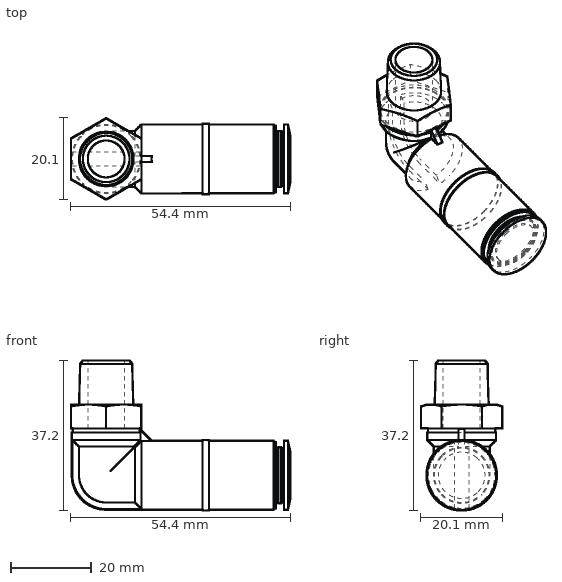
import cadquery as cq
import math

OVERALL_LENGTH = 54.35

HEX_CORNERS = 20.15
HEX_FLATS = HEX_CORNERS * math.cos(math.radians(30))
HEX_BOTTOM = 11.65
HEX_TOP = 17.5
HEX_CHAMFER_HEIGHT = 0.45

STUD_TOP = 28.5
STUD_BASE_RADIUS = 6.75
STUD_END_RADIUS = 6.45
STUD_TIP_RADIUS = 11.5 / 2
STUD_CHAMFER_HEIGHT = 0.85
BORE_DIAMETER = 9.15
BORE_DEPTH = STUD_TOP - HEX_BOTTOM

BODY_RADIUS = 17.1 / 2
ELBOW_RADIUS = 13.9 / 2
NECK_RADIUS = 16.7 / 2
SHOULDER_START = 7.1
SHOULDER_END = SHOULDER_START + BODY_RADIUS - ELBOW_RADIUS
COLLAR_TOP = 10.65
RIB_WIDTH = 3.55
GUSSET_WIDTH = 1.45
GUSSET_REACH = 19.85

BAND_RADIUS = 17.5 / 2
BAND_START = 23.85
BAND_WIDTH = 1.6
BODY_END = 41.4
LIP_START = 41.6
LIP_END = 42.05
LIP_END_RADIUS = 8.2

SLEEVE_STEP = 42.5
SLEEVE_STEP_RADIUS = 6.85
SLEEVE_RIM_START = 42.65
SLEEVE_RIM_END = 43.3
SLEEVE_END = 43.5
SLEEVE_END_RADIUS = 6.75
SLEEVE_RIM_RADIUS = 13.9 / 2
SLEEVE_NECK_RADIUS = 11.5 / 2
FLANGE_START = 44.0
FLANGE_RIM_END = 45.0
FLANGE_FACE_RADIUS = SLEEVE_NECK_RADIUS
TUBE_END = OVERALL_LENGTH - HEX_FLATS / 2


def make_upright():
    """Revolve the stud, neck, collar and vertical leg about Z."""
    return (
        cq.Workplane("XZ")
        .moveTo(0, 0)
        .lineTo(ELBOW_RADIUS, 0)
        .lineTo(ELBOW_RADIUS, SHOULDER_START)
        .lineTo(BODY_RADIUS, SHOULDER_END)
        .lineTo(BODY_RADIUS, COLLAR_TOP)
        .lineTo(NECK_RADIUS, COLLAR_TOP)
        .lineTo(NECK_RADIUS, HEX_TOP)
        .lineTo(STUD_BASE_RADIUS, HEX_TOP)
        .lineTo(STUD_END_RADIUS, STUD_TOP - STUD_CHAMFER_HEIGHT)
        .lineTo(STUD_TIP_RADIUS, STUD_TOP)
        .lineTo(0, STUD_TOP)
        .close()
        .revolve(360, (0, 0, 0), (0, 1, 0))
    )


def make_hexagon():
    """Hexagon with flats facing +/-X and its upper corners turned off by a cone."""
    hexagon = (
        cq.Workplane("XY", origin=(0, 0, HEX_BOTTOM))
        .polygon(6, HEX_CORNERS)
        .extrude(HEX_TOP - HEX_BOTTOM)
        .rotate((0, 0, 0), (0, 0, 1), 30)
    )
    corner_cone = (
        cq.Workplane("XZ")
        .moveTo(0, HEX_BOTTOM)
        .lineTo(HEX_CORNERS / 2, HEX_BOTTOM)
        .lineTo(HEX_CORNERS / 2, HEX_TOP - HEX_CHAMFER_HEIGHT)
        .lineTo(HEX_FLATS / 2, HEX_TOP)
        .lineTo(0, HEX_TOP)
        .close()
        .revolve(360, (0, 0, 0), (0, 1, 0))
    )
    return hexagon.intersect(corner_cone)


def make_tube():
    """Revolve the horizontal leg, tube body and release sleeve about X."""
    return (
        cq.Workplane("XZ")
        .moveTo(0, 0)
        .lineTo(0, ELBOW_RADIUS)
        .lineTo(SHOULDER_START, ELBOW_RADIUS)
        .lineTo(SHOULDER_END, BODY_RADIUS)
        .lineTo(BAND_START, BODY_RADIUS)
        .lineTo(BAND_START, BAND_RADIUS)
        .lineTo(BAND_START + BAND_WIDTH, BAND_RADIUS)
        .lineTo(BAND_START + BAND_WIDTH, BODY_RADIUS)
        .lineTo(BODY_END, BODY_RADIUS)
        .lineTo(LIP_START, NECK_RADIUS)
        .lineTo(LIP_END, LIP_END_RADIUS)
        .lineTo(LIP_END, SLEEVE_STEP_RADIUS)
        .lineTo(SLEEVE_STEP, SLEEVE_STEP_RADIUS)
        .lineTo(SLEEVE_RIM_START, SLEEVE_RIM_RADIUS)
        .lineTo(SLEEVE_RIM_END, SLEEVE_RIM_RADIUS)
        .lineTo(SLEEVE_END, SLEEVE_END_RADIUS)
        .lineTo(SLEEVE_END, SLEEVE_NECK_RADIUS)
        .lineTo(FLANGE_START, SLEEVE_NECK_RADIUS)
        .lineTo(FLANGE_START, BODY_RADIUS)
        .lineTo(FLANGE_RIM_END, BODY_RADIUS)
        .lineTo(TUBE_END, FLANGE_FACE_RADIUS)
        .lineTo(TUBE_END, 0)
        .close()
        .revolve(360, (0, 0, 0), (1, 0, 0))
    )


def make_rib():
    """Rib along the outside of the bend, its rim flush with the collar and the tube body."""
    envelope = (
        cq.Workplane("XY")
        .sphere(BODY_RADIUS)
        .union(cq.Workplane("XY").circle(BODY_RADIUS).extrude(SHOULDER_END))
        .union(cq.Workplane("YZ").circle(BODY_RADIUS).extrude(SHOULDER_END))
    )
    outside_of_bend = (
        cq.Workplane("XZ")
        .moveTo(0, 0)
        .lineTo(0, SHOULDER_END)
        .lineTo(-BODY_RADIUS, SHOULDER_END)
        .lineTo(-BODY_RADIUS, -BODY_RADIUS)
        .lineTo(SHOULDER_END, -BODY_RADIUS)
        .lineTo(SHOULDER_END, 0)
        .close()
        .extrude(RIB_WIDTH / 2, both=True)
    )
    return envelope.intersect(outside_of_bend)


def make_gusset():
    """Thin 45 degree web in the inner corner, from the hexagon down to the tube body."""
    return (
        cq.Workplane("XZ")
        .moveTo(0, 0)
        .lineTo(0, HEX_BOTTOM)
        .lineTo(GUSSET_REACH - HEX_BOTTOM, HEX_BOTTOM)
        .lineTo(GUSSET_REACH - SHOULDER_START, SHOULDER_START)
        .lineTo(GUSSET_REACH - SHOULDER_START, 0)
        .close()
        .extrude(GUSSET_WIDTH / 2, both=True)
    )


bend = cq.Workplane("XY").sphere(ELBOW_RADIUS)
bore = cq.Workplane("XY", origin=(0, 0, HEX_BOTTOM)).circle(BORE_DIAMETER / 2).extrude(BORE_DEPTH)

result = (
    make_upright()
    .union(make_hexagon())
    .union(make_tube())
    .union(bend)
    .union(make_rib())
    .union(make_gusset())
    .cut(bore)
)